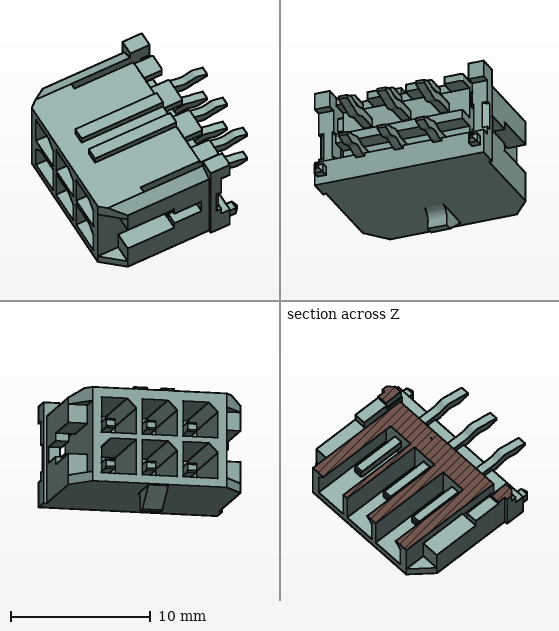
import cadquery as cq


housing_half_width = 6.34
housing_height = 6.88
core_half_width = 4.93
core_rear_y = 8.56
flange_half_width = 6.58
flange_front_y = 8.31
flange_web_rear_y = 9.18
flange_rear_y = 9.89
overall_height = 7.38
bevel_inner_x = 5.4
bevel_drop = 0.51
corner_depth = 1.67

recess_bottom_z = 0.7
recess_top_z = 5.88
slot_mid_z = 3.4
wide_slot_height = 2.27
wide_slot_end_y = 5.48
narrow_slot_height = 1.16
narrow_slot_end_y = 7.69

groove_front_y = 3.5
groove_floor_z = recess_top_z
groove_lip = 0.1
pocket_height = 2.71
relief_outer_x = 5.5
relief_height = 2.0
relief_bevel = 0.42

foot_height = 1.81
pad_bottom_z = 6.11
pad_top_z = 6.67
pad_gap = 0.96
pad_corner_radius = 0.13
middle_bar_height = 0.7

column_pitch = 3.0
row_pitch = 2.97
upper_row_z = 4.88
lower_row_z = upper_row_z - row_pitch
column_xs = [-column_pitch, 0, column_pitch]
cavity_size = 2.56
cavity_key = 0.68
cavity_depth = 6.58
contact_size = 0.66
contact_tip_y = 2.63
contact_tip_bevel = 0.12
contact_end_y = 13.08
contact_end_half = 0.1

rib_width = 0.95
rib_center_x = 1.0
latch_width = 1.46
latch_drop = 1.4
latch_ramp_start_y = 0.41
latch_toe_y = 2.31
latch_heel_y = 2.97
latch_heel_z = -1.03
latch_root_y = 3.54
latch_arc_middle = (3.05, -0.34)
peg_size = 0.66
peg_x = 6.01
peg_z = 0.97
peg_shoulder_y = 10.51
peg_tip_y = 10.76
peg_tip_size = 0.16


def box(x_range, y_range, z_range):
    """Axis-aligned block between the given limits."""
    low, high = zip(x_range, y_range, z_range)
    size = [b - a for a, b in zip(low, high)]
    return cq.Workplane("XY").box(*size, centered=False).translate(low)


def both_sides(solid):
    """The solid together with its mirror image across the YZ plane."""
    return solid.union(solid.mirror("YZ"))


def centered_range(middle, size):
    return (middle - size / 2, middle + size / 2)


def make_shell():
    """Housing block with bevelled top edges and angled front corners."""
    section = [
        (-housing_half_width, 0),
        (housing_half_width, 0),
        (housing_half_width, housing_height - bevel_drop),
        (bevel_inner_x, housing_height),
        (-bevel_inner_x, housing_height),
        (-housing_half_width, housing_height - bevel_drop),
    ]
    plan = [
        (-core_half_width, 0),
        (core_half_width, 0),
        (housing_half_width, corner_depth),
        (housing_half_width, flange_front_y),
        (-housing_half_width, flange_front_y),
        (-housing_half_width, corner_depth),
    ]
    prism = cq.Workplane("XZ").polyline(section).close().extrude(-flange_front_y)
    return prism.intersect(cq.Workplane("XY").polyline(plan).close().extrude(housing_height))


def make_rear():
    """Rear wall, side flanges, foot bar, middle bar and top pads."""
    core_x = (-core_half_width, core_half_width)
    flange_x = (bevel_inner_x, flange_half_width)
    rear = box(core_x, (flange_front_y, core_rear_y), (0, pad_bottom_z))
    rear = rear.union(box(core_x, (core_rear_y, flange_rear_y),
                          centered_range(slot_mid_z, middle_bar_height)))
    rear = rear.union(box((-flange_half_width, flange_half_width),
                          (flange_front_y, flange_rear_y), (0, foot_height)))
    lip_rear_y = flange_front_y + groove_lip
    lip = box((core_half_width, bevel_inner_x), (flange_front_y - groove_lip, lip_rear_y),
              (slot_mid_z + pocket_height / 2, groove_floor_z))
    rear = rear.union(both_sides(lip.edges(">Y and >Z").chamfer(groove_lip)))
    web = box(flange_x, (flange_front_y, flange_web_rear_y), (0, overall_height))
    tab = box(flange_x, (flange_front_y, flange_rear_y), (pad_bottom_z, overall_height))
    rear = rear.union(both_sides(web.union(tab)))

    pad_starts = [-core_half_width] + [x + pad_gap / 2 for x in column_xs]
    pad_ends = [x - pad_gap / 2 for x in column_xs] + [core_half_width]
    for start, end in zip(pad_starts, pad_ends):
        pad = box((start, end), (flange_front_y, flange_rear_y), (pad_bottom_z, pad_top_z))
        rear = rear.union(pad.edges("|Z and >Y").fillet(pad_corner_radius))
    return rear


def make_side_cuts():
    """Front recess, stepped slot, groove, pocket and rear relief on both sides."""
    side_x = (core_half_width, housing_half_width)
    relief_z = centered_range(slot_mid_z, relief_height)
    cuts = box(side_x, (0, corner_depth), (recess_bottom_z, recess_top_z))
    cuts = cuts.union(box(side_x, (0, wide_slot_end_y),
                          centered_range(slot_mid_z, wide_slot_height)))
    cuts = cuts.union(box(side_x, (0, narrow_slot_end_y),
                          centered_range(slot_mid_z, narrow_slot_height)))
    gap_x = (core_half_width, bevel_inner_x)
    cuts = cuts.union(box(gap_x, (groove_front_y, flange_front_y),
                          (groove_floor_z, housing_height)))
    cuts = cuts.union(box(gap_x, (wide_slot_end_y, flange_front_y),
                          centered_range(slot_mid_z, pocket_height)))
    cuts = cuts.union(box((core_half_width, relief_outer_x),
                          (narrow_slot_end_y, flange_rear_y), relief_z))
    rear_bevel = (
        cq.Workplane("XY", origin=(0, 0, relief_z[0]))
        .polyline([
            (flange_half_width - relief_bevel, flange_web_rear_y),
            (flange_half_width, flange_web_rear_y - relief_bevel),
            (flange_half_width, flange_web_rear_y),
        ])
        .close()
        .extrude(relief_height)
    )
    return both_sides(cuts.union(rear_bevel))


def make_cavity(x, z, key_side):
    """Square cavity with one upper corner cut off; key_side is +1 for right, -1 for left."""
    half = cavity_size / 2
    outline = [
        (x - key_side * half, z - half),
        (x + key_side * half, z - half),
        (x + key_side * half, z + half - cavity_key),
        (x + key_side * (half - cavity_key), z + half),
        (x - key_side * half, z + half),
    ]
    return cq.Workplane("XZ").polyline(outline).close().extrude(-cavity_depth)


def make_contact(x):
    """Upper contact with a bevelled tip and a wavy solder tail; heights are about its axis."""
    half = contact_size / 2
    bevelled = half - contact_tip_bevel
    return (
        cq.Workplane("YZ", origin=(x - half, 0, upper_row_z))
        .moveTo(contact_tip_y, -bevelled)
        .lineTo(contact_tip_y, bevelled)
        .lineTo(contact_tip_y + contact_tip_bevel, half)
        .lineTo(10.18, half)
        .threePointArc((10.32, 0.32), (10.45, 0.29))
        .lineTo(11.02, 0.13)
        .threePointArc((11.14, 0.1), (11.25, 0.1))
        .threePointArc((11.39, 0.1), (11.52, 0.13))
        .lineTo(12.05, 0.29)
        .threePointArc((12.15, 0.32), (12.27, 0.32))
        .lineTo(12.36, 0.3)
        .lineTo(contact_end_y, contact_end_half)
        .lineTo(contact_end_y, -contact_end_half)
        .lineTo(12.27, -0.33)
        .lineTo(12.0, -0.35)
        .lineTo(11.44, -0.53)
        .threePointArc((11.18, -0.57), (10.91, -0.53))
        .lineTo(10.45, -0.35)
        .lineTo(10.26, -half)
        .lineTo(contact_tip_y + contact_tip_bevel, -half)
        .close()
        .extrude(contact_size)
    )


def make_latch():
    """Ramped catch below the floor with a concave back."""
    return (
        cq.Workplane("YZ", origin=(-latch_width / 2, 0, 0))
        .moveTo(latch_ramp_start_y, 0)
        .lineTo(latch_toe_y, -latch_drop)
        .lineTo(latch_heel_y, -latch_drop)
        .lineTo(latch_heel_y, latch_heel_z)
        .threePointArc(latch_arc_middle, (latch_root_y, 0))
        .close()
        .extrude(latch_width)
    )


def make_peg():
    """Square board peg with a pyramidal tip."""
    tip_length = peg_tip_y - peg_shoulder_y
    shank = box(centered_range(peg_x, peg_size), (flange_rear_y, peg_shoulder_y),
                centered_range(peg_z, peg_size))
    tip = (
        cq.Workplane("XZ", origin=(peg_x, peg_shoulder_y, peg_z))
        .rect(peg_size, peg_size)
        .workplane(offset=-tip_length)
        .rect(peg_tip_size, peg_tip_size)
        .loft()
    )
    return shank.union(tip)


housing = make_shell().union(make_rear()).cut(make_side_cuts())
for x in column_xs:
    lower_key_side = -1 if x == column_xs[0] else 1
    housing = housing.cut(make_cavity(x, upper_row_z, 1))
    housing = housing.cut(make_cavity(x, lower_row_z, lower_key_side))

rib = box(centered_range(rib_center_x, rib_width), (corner_depth, flange_front_y),
          (housing_height, overall_height))
result = housing.union(both_sides(rib)).union(make_latch()).union(both_sides(make_peg()))

mid_row_z = (upper_row_z + lower_row_z) / 2
for x in column_xs:
    upper_contact = make_contact(x)
    lower_contact = upper_contact.mirror("XY", (0, 0, mid_row_z))
    result = result.union(upper_contact).union(lower_contact)